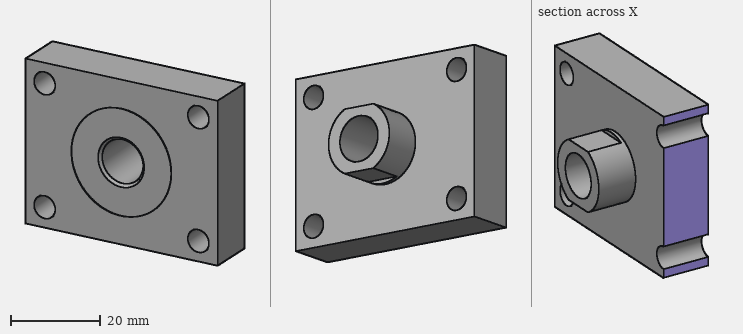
import cadquery as cq

plate_length = 50.0
plate_thickness = 12.0
plate_height = 40.0
overall_depth = 22.0

pad_diameter = 26.0
pad_height = 0.15

spigot_diameter = 17.0
spigot_length = overall_depth - plate_thickness - pad_height
flat_spacing = 15.0
collar_length = 1.0

bore_diameter = 10.65
bore_mouth_diameter = 12.0

mount_diameter = 5.5
mount_spacing_x = 40.0
mount_spacing_z = 30.0


def cylinder_along_y(diameter, start, length):
    """Cylinder on the part's Y axis, running from Y = start toward +Y."""
    base = cq.Vector(0, start, 0)
    axis = cq.Vector(0, 1, 0)
    return cq.Workplane(cq.Solid.makeCylinder(diameter / 2, length, base, axis))


def make_plate():
    """Rectangular plate with the pad on its front face."""
    plate = cq.Workplane("XY").box(plate_length, plate_thickness, plate_height, centered=(True, False, True))
    return plate.union(cylinder_along_y(pad_diameter, -pad_height, pad_height))


def make_spigot():
    """Spigot whose free end carries flats facing +Z and -Z."""
    flat_length = spigot_length - collar_length
    flat_start = plate_thickness + collar_length
    collar = cylinder_along_y(spigot_diameter, plate_thickness, collar_length)
    slab = (
        cq.Workplane("XY")
        .box(spigot_diameter, flat_length, flat_spacing, centered=(True, False, True))
        .translate((0, flat_start, 0))
    )
    flatted_end = cylinder_along_y(spigot_diameter, flat_start, flat_length).intersect(slab)
    return collar.union(flatted_end)


def make_bore():
    """Through-bore cutter with a 45 degree chamfer at the pad face."""
    bore = cylinder_along_y(bore_diameter, -pad_height, overall_depth)
    mouth_depth = (bore_mouth_diameter - bore_diameter) / 2
    mouth = cq.Solid.makeCone(
        bore_mouth_diameter / 2,
        bore_diameter / 2,
        mouth_depth,
        cq.Vector(0, -pad_height, 0),
        cq.Vector(0, 1, 0),
    )
    return bore.union(cq.Workplane(mouth))


def drill_mount_holes(body):
    """Drill the four through holes at the plate corners."""
    hole = cylinder_along_y(mount_diameter, 0, plate_thickness)
    for side_x in (-1, 1):
        for side_z in (-1, 1):
            place = (side_x * mount_spacing_x / 2, 0, side_z * mount_spacing_z / 2)
            body = body.cut(hole.translate(place))
    return body


body = make_plate().union(make_spigot()).cut(make_bore())
result = drill_mount_holes(body)